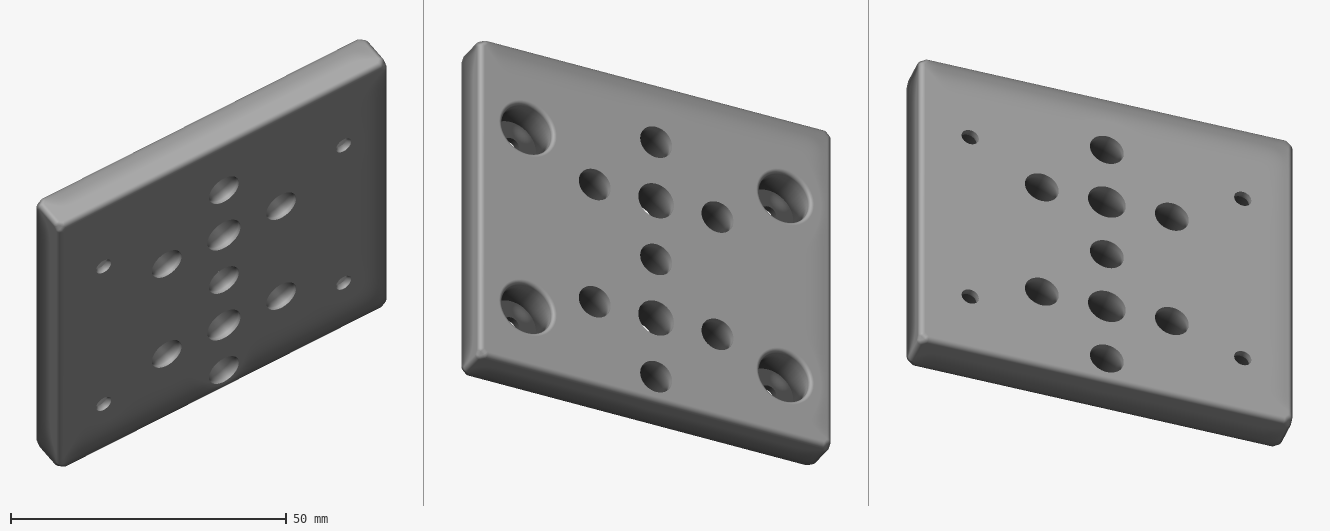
import cadquery as cq
import math

THICKNESS = 8.15
WIDTH = 71.89
HEIGHT = 67.71
EDGE_RADIUS = 1.0
CORNER_BEVEL = 1.9

PATTERN_PITCH = 12.5
PATTERN_CENTRE_Z = -3.6
HOLE_DIAMETER = 6.5
LARGE_HOLE_DIAMETER = 7.25

MOUNT_SPACING_Y = 52.4
MOUNT_SPACING_Z = 38.2
MOUNT_CENTRE_Y = -0.07
MOUNT_CENTRE_Z = -2.05
SCREW_DIAMETER = 3.3
COUNTERBORE_DIAMETER = 10.2
COUNTERBORE_DEPTH = 6.8
MOUTH_RADIUS = 0.75

FRONT_X = -THICKNESS / 2


def x_cylinder(diameter, depth, y, z):
    """Cylinder running in +X from the -X face, centred at (y, z)."""
    return cq.Workplane(
        cq.Solid.makeCylinder(diameter / 2, depth, cq.Vector(FRONT_X, y, z), cq.Vector(1, 0, 0))
    )


def corner_wedge(x_side, y_side, z_side):
    """Tetrahedron with its right-angled vertex on one corner of the block."""
    corner = cq.Vector(x_side * THICKNESS / 2, y_side * WIDTH / 2, z_side * HEIGHT / 2)
    along_x = corner - cq.Vector(x_side * CORNER_BEVEL, 0, 0)
    along_y = corner - cq.Vector(0, y_side * CORNER_BEVEL, 0)
    along_z = corner - cq.Vector(0, 0, z_side * CORNER_BEVEL)
    triangles = (
        (corner, along_x, along_y),
        (corner, along_y, along_z),
        (corner, along_z, along_x),
        (along_x, along_y, along_z),
    )
    faces = [cq.Face.makeFromWires(cq.Wire.makePolygon(points, close=True)) for points in triangles]
    return cq.Workplane(cq.Solid.makeSolid(cq.Shell.makeShell(faces)))


def rounded_plate():
    """Block whose eight corners are bevelled before every edge is rounded."""
    block = cq.Workplane("XY").box(THICKNESS, WIDTH, HEIGHT)
    for x_side in (-1, 1):
        for y_side in (-1, 1):
            for z_side in (-1, 1):
                block = block.cut(corner_wedge(x_side, y_side, z_side))
    return block.edges().fillet(EDGE_RADIUS)


def mount_cutter(y, z):
    """Screw hole, counterbore and rounded counterbore mouth as one revolved cutter."""
    bore_radius = COUNTERBORE_DIAMETER / 2
    mouth_mid = MOUTH_RADIUS * (1 - math.sqrt(0.5))
    profile = (
        cq.Workplane("XY")
        .moveTo(0, 0)
        .lineTo(0, bore_radius + MOUTH_RADIUS)
        .threePointArc((mouth_mid, bore_radius + mouth_mid), (MOUTH_RADIUS, bore_radius))
        .lineTo(COUNTERBORE_DEPTH, bore_radius)
        .lineTo(COUNTERBORE_DEPTH, SCREW_DIAMETER / 2)
        .lineTo(THICKNESS, SCREW_DIAMETER / 2)
        .lineTo(THICKNESS, 0)
        .close()
    )
    return profile.revolve(360, (0, 0, 0), (1, 0, 0)).translate((FRONT_X, y, z))


def cut_hole_pattern(plate):
    """Five holes up the centre line, flanked by a pair beside each large hole."""
    for row in (-2, -1, 0, 1, 2):
        z = PATTERN_CENTRE_Z + row * PATTERN_PITCH
        is_wide_row = row in (-1, 1)
        centre_diameter = LARGE_HOLE_DIAMETER if is_wide_row else HOLE_DIAMETER
        plate = plate.cut(x_cylinder(centre_diameter, THICKNESS, 0, z))
        if is_wide_row:
            for y in (-PATTERN_PITCH, PATTERN_PITCH):
                plate = plate.cut(x_cylinder(HOLE_DIAMETER, THICKNESS, y, z))
    return plate


def cut_mounts(plate):
    for side in (-1, 1):
        for level in (-1, 1):
            y = MOUNT_CENTRE_Y + side * MOUNT_SPACING_Y / 2
            z = MOUNT_CENTRE_Z + level * MOUNT_SPACING_Z / 2
            plate = plate.cut(mount_cutter(y, z))
    return plate


result = cut_mounts(cut_hole_pattern(rounded_plate()))